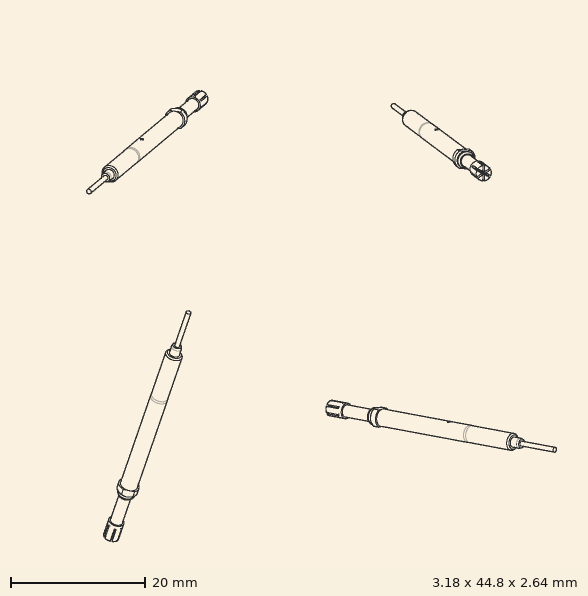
import cadquery as cq

LENGTH = 44.8
HEAD_END = LENGTH / 2
TIP_END = -LENGTH / 2

HEAD_LENGTH = 3.05
STEM_LENGTH = 5.1
COLLAR_CONE_LENGTH = 0.4
COLLAR_LENGTH = 0.4
FLANGE_CONE_LENGTH = 0.25
FLANGE_LENGTH = 1.0
BARREL_LENGTH = 17.25
SLEEVE_TAPER_LENGTH = 0.4
SLEEVE_LENGTH = 8.15
SLEEVE_CHAMFER_LENGTH = 0.25
PLUG_LENGTH = 1.2
PLUG_CHAMFER_LENGTH = 0.35
NEEDLE_POINT_LENGTH = 0.35

HEAD_RADIUS = 1.185
STEM_RADIUS = 0.95
COLLAR_FRONT_RADIUS = 1.08
BARREL_RADIUS = 1.32
FLANGE_RADIUS = 1.59
SLEEVE_RADIUS = 1.3
SLEEVE_TIP_RADIUS = 1.08
PLUG_RADIUS = 0.785
PLUG_TIP_RADIUS = 0.65
NEEDLE_RADIUS = 0.38

FLAT_DISTANCE = 2 * BARREL_RADIUS

SLOT_COUNT = 3
SLOT_WIDTH = 0.25
SLOT_LENGTH = 2.37

DIMPLE_Y = -1.0
DIMPLE_DIAMETER = 0.45
DIMPLE_DEPTH = 0.15


def turned_body():
    """Revolve the stepped outline, given as (radius, y), about the Y axis."""
    stem_start = HEAD_END - HEAD_LENGTH
    collar_front = stem_start - STEM_LENGTH
    collar_start = collar_front - COLLAR_CONE_LENGTH
    collar_end = collar_start - COLLAR_LENGTH
    flange_start = collar_end - FLANGE_CONE_LENGTH
    flange_end = flange_start - FLANGE_LENGTH
    barrel_end = flange_end - BARREL_LENGTH
    sleeve_start = barrel_end - SLEEVE_TAPER_LENGTH
    sleeve_end = sleeve_start - SLEEVE_LENGTH
    sleeve_tip = sleeve_end - SLEEVE_CHAMFER_LENGTH
    plug_end = sleeve_tip - PLUG_LENGTH
    plug_tip = plug_end - PLUG_CHAMFER_LENGTH
    outline = [
        (0, HEAD_END),
        (HEAD_RADIUS, HEAD_END),
        (HEAD_RADIUS, stem_start),
        (STEM_RADIUS, stem_start),
        (STEM_RADIUS, collar_front),
        (COLLAR_FRONT_RADIUS, collar_front),
        (BARREL_RADIUS, collar_start),
        (BARREL_RADIUS, collar_end),
        (FLANGE_RADIUS, flange_start),
        (FLANGE_RADIUS, flange_end),
        (BARREL_RADIUS, flange_end),
        (BARREL_RADIUS, barrel_end),
        (SLEEVE_RADIUS, sleeve_start),
        (SLEEVE_RADIUS, sleeve_end),
        (SLEEVE_TIP_RADIUS, sleeve_tip),
        (PLUG_RADIUS, sleeve_tip),
        (PLUG_RADIUS, plug_end),
        (PLUG_TIP_RADIUS, plug_tip),
        (NEEDLE_RADIUS, plug_tip),
        (NEEDLE_RADIUS, TIP_END + NEEDLE_POINT_LENGTH),
        (0, TIP_END),
    ]
    return cq.Workplane("XY").polyline(outline).close().revolve(360, (0, 0, 0), (0, 1, 0))


def cut_flats(body):
    """Trim the flange to two flats facing +Z and -Z."""
    envelope = cq.Workplane("XY").box(2 * FLANGE_RADIUS, LENGTH, FLAT_DISTANCE)
    return body.intersect(envelope)


def cut_head_slots(body):
    """Cut slots across the head from its open end, evenly turned about the Y axis."""
    slot_center_y = HEAD_END - SLOT_LENGTH / 2
    slot = cq.Workplane("XY", origin=(0, slot_center_y, 0)).box(SLOT_WIDTH, SLOT_LENGTH, 2 * HEAD_RADIUS)
    for index in range(SLOT_COUNT):
        angle = index * 180 / SLOT_COUNT
        body = body.cut(slot.rotate((0, 0, 0), (0, 1, 0), angle))
    return body


def cut_dimple(body):
    """Sink a small round dimple into the top of the barrel."""
    dimple = (
        cq.Workplane("XY", origin=(0, DIMPLE_Y, BARREL_RADIUS - DIMPLE_DEPTH))
        .circle(DIMPLE_DIAMETER / 2)
        .extrude(DIMPLE_DEPTH)
    )
    return body.cut(dimple)


probe = turned_body()
probe = cut_flats(probe)
probe = cut_head_slots(probe)
result = cut_dimple(probe)